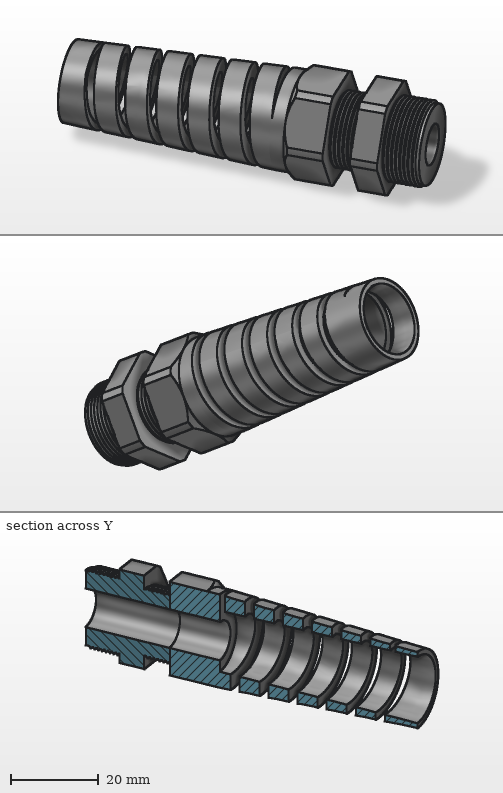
import cadquery as cq
import math

RING_END_X = 5.8
SPIRAL_END_X = 51.7
CAP_HEX_START_X = 55.0
CAP_END_X = 64.9
FLANGE_START_X = 71.5
FLANGE_END_X = 78.0
TOTAL_LENGTH = 86.9

HEX_ACROSS_FLATS = 23.9
HEX_ACROSS_CORNERS = 26.5
HEX_SHARP_CORNERS = HEX_ACROSS_FLATS / math.cos(math.pi / 6)

COLLAR_RADIUS = HEX_ACROSS_FLATS / 2
TIP_RADIUS = 9.7
TIP_INNER_RADIUS = 8.4
BASE_INNER_RADIUS = 7.7
BORE_RADIUS = 4.9

SLOT_PITCH = 7.6
SLOT_WIDTH = 2.3
SLOT_PHASE_X = 2.2
SLOT_MID_RADIUS = (COLLAR_RADIUS + BORE_RADIUS) / 2
SLOT_DEPTH = 12.2

THREAD_DEPTH = 0.5
CAP_THREAD_RADIUS = 9.0
CAP_THREAD_PITCH = 1.0
END_THREAD_RADIUS = 10.1
END_THREAD_PITCH = 1.0


def revolve_about_x(points):
    """Solid of revolution from (x, radius) points."""
    return cq.Workplane("XY").polyline(points).close().revolve(360, (0, 0), (1, 0))


def cylinder(start_x, end_x, radius):
    return cq.Workplane("YZ", origin=(start_x, 0, 0)).circle(radius).extrude(end_x - start_x)


def rounded_hexagon(start_x, end_x):
    """Hexagonal prism with flats on +Z and -Z and its corners turned to a cylinder."""
    length = end_x - start_x
    prism = cq.Workplane("YZ", origin=(start_x, 0, 0)).polygon(6, HEX_SHARP_CORNERS).extrude(length)
    return prism.intersect(cylinder(start_x, end_x, HEX_ACROSS_CORNERS / 2))


def thread(start_x, end_x, radius, pitch):
    """Threaded stretch with V-shaped rings, starting on a root."""
    root_radius = radius - THREAD_DEPTH
    ring_count = int((end_x - start_x) / pitch)
    points = [(start_x, 0), (start_x, root_radius)]
    for ring in range(ring_count):
        ring_x = start_x + ring * pitch
        points.append((ring_x + pitch / 2, radius))
        points.append((ring_x + pitch, root_radius))
    points += [(end_x, root_radius), (end_x, 0)]
    return revolve_about_x(points)


def helical_slot():
    """Cutter for the slot between the coils, limited to the spiral stretch."""
    helix = cq.Wire.makeHelix(SLOT_PITCH, SPIRAL_END_X, SLOT_MID_RADIUS)
    section = cq.Workplane("XZ").center(SLOT_MID_RADIUS, 0).rect(SLOT_DEPTH, SLOT_WIDTH)
    coil = section.sweep(cq.Workplane(helix), isFrenet=True)
    coil = coil.rotate((0, 0, 0), (0, 1, 0), 90).translate((SLOT_PHASE_X, 0, 0))
    return coil.intersect(cylinder(RING_END_X, SPIRAL_END_X, HEX_ACROSS_CORNERS))


def make_spiral_cap():
    sleeve = revolve_about_x([
        (0, TIP_INNER_RADIUS),
        (0, TIP_RADIUS),
        (SPIRAL_END_X, COLLAR_RADIUS),
        (SPIRAL_END_X, BASE_INNER_RADIUS),
    ]).cut(helical_slot())
    collar = cylinder(SPIRAL_END_X, CAP_HEX_START_X, COLLAR_RADIUS)
    chamfer = HEX_ACROSS_CORNERS / 2 - COLLAR_RADIUS
    chamfer_envelope = revolve_about_x([
        (CAP_HEX_START_X, 0),
        (CAP_HEX_START_X, COLLAR_RADIUS),
        (CAP_HEX_START_X + chamfer, COLLAR_RADIUS + chamfer),
        (CAP_END_X, COLLAR_RADIUS + chamfer),
        (CAP_END_X, 0),
    ])
    hexagon = rounded_hexagon(CAP_HEX_START_X, CAP_END_X).intersect(chamfer_envelope)
    bore = cylinder(SPIRAL_END_X, CAP_END_X, BORE_RADIUS)
    return collar.union(hexagon).cut(bore).union(sleeve)


def make_gland_body():
    cap_thread = thread(CAP_END_X, FLANGE_START_X, CAP_THREAD_RADIUS, CAP_THREAD_PITCH)
    flange = rounded_hexagon(FLANGE_START_X, FLANGE_END_X)
    end_thread = thread(FLANGE_END_X, TOTAL_LENGTH, END_THREAD_RADIUS, END_THREAD_PITCH)
    bore = cylinder(CAP_END_X, TOTAL_LENGTH, BORE_RADIUS)
    return cap_thread.union(flange).union(end_thread).cut(bore)


spiral_cap = make_spiral_cap()
gland_body = make_gland_body()
result = cq.Compound.makeCompound([spiral_cap.solids().val(), gland_body.solids().val()])